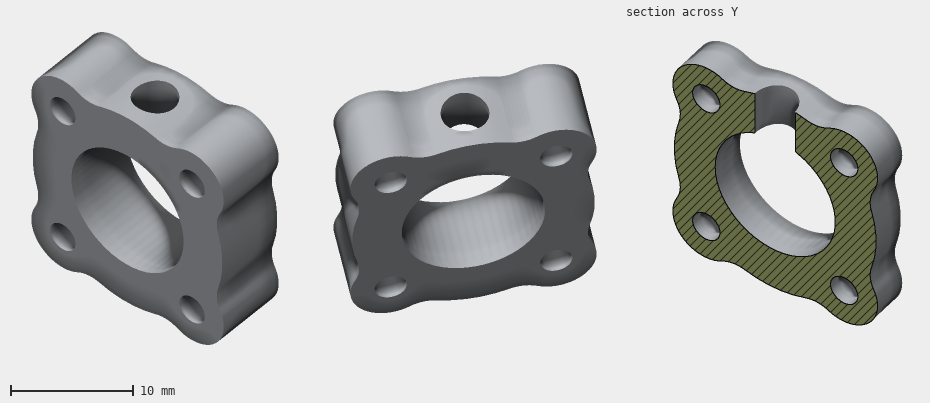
import cadquery as cq
import math

width = 20.57
thickness = 7.0
corner_radius = 3.37
disc_radius = 10.15
blend_radius = 3.0
bore_diameter = 12.0
bolt_hole_diameter = 2.7
radial_hole_diameter = 4.0

bolt_offset = width / 2 - corner_radius
bolt_distance = bolt_offset * math.sqrt(2)
bolt_positions = [(x, z) for x in (-bolt_offset, bolt_offset) for z in (-bolt_offset, bolt_offset)]

blend_distance = disc_radius + blend_radius
lobe_to_blend = corner_radius + blend_radius
blend_angle = math.acos(
    (bolt_distance**2 + blend_distance**2 - lobe_to_blend**2) / (2 * bolt_distance * blend_distance)
)


def polar(radius, angle):
    return cq.Vector(radius * math.cos(angle), radius * math.sin(angle))


def blend_points(diagonal, side):
    """Disc end, middle and lobe end of the concave blend on one side of a lobe."""
    lobe_center = polar(bolt_distance, diagonal)
    disc_angle = diagonal + side * blend_angle
    center = polar(blend_distance, disc_angle)
    disc_end = polar(disc_radius, disc_angle)
    lobe_end = lobe_center + (center - lobe_center).normalized() * corner_radius
    toward_middle = ((disc_end + lobe_end) * 0.5 - center).normalized()
    return disc_end, center + toward_middle * blend_radius, lobe_end


def flange_outline():
    """Central disc with four round lobes, joined by tangent concave blends."""
    quarter_turn = math.pi / 2
    first_diagonal = quarter_turn / 2
    start = blend_points(first_diagonal, -1)[0]
    outline = cq.Workplane("XZ").moveTo(start.x, start.y)
    for corner in range(4):
        diagonal = first_diagonal + corner * quarter_turn
        _, entry_middle, entry_lobe = blend_points(diagonal, -1)
        exit_disc, exit_middle, exit_lobe = blend_points(diagonal, 1)
        lobe_tip = polar(bolt_distance + corner_radius, diagonal)
        disc_middle = polar(disc_radius, diagonal + quarter_turn / 2)
        next_disc = blend_points(diagonal + quarter_turn, -1)[0]
        arcs = [
            (entry_middle, entry_lobe),
            (lobe_tip, exit_lobe),
            (exit_middle, exit_disc),
            (disc_middle, next_disc),
        ]
        for middle, end in arcs:
            outline = outline.threePointArc((middle.x, middle.y), (end.x, end.y))
    return outline.close()


def through_holes(positions, diameter):
    holes = cq.Workplane("XZ").pushPoints(positions).circle(diameter / 2)
    return holes.extrude(thickness / 2, both=True)


body = flange_outline().extrude(thickness / 2, both=True)
bore = through_holes([(0, 0)], bore_diameter)
bolt_holes = through_holes(bolt_positions, bolt_hole_diameter)

radial_hole = cq.Workplane("XY").circle(radial_hole_diameter / 2).extrude(width / 2)

result = body.cut(bore).cut(bolt_holes).cut(radial_hole)